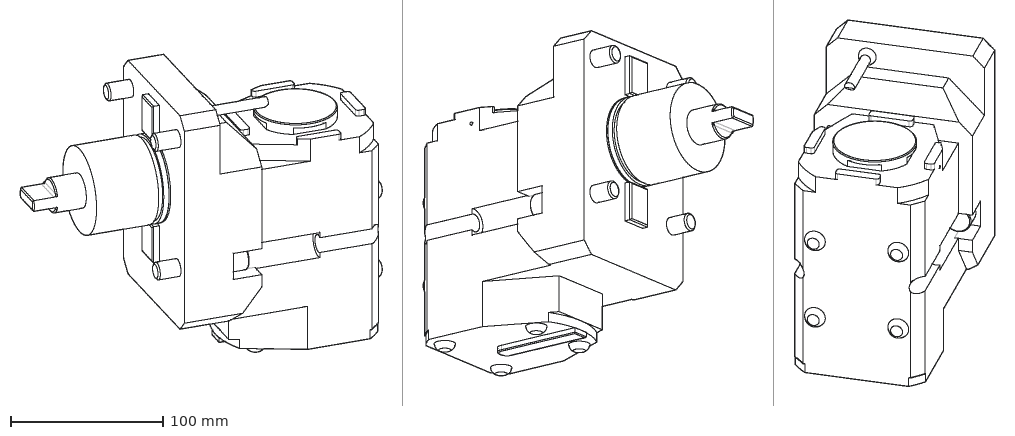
import cadquery as cq
import math


flange_width = 108.0
flange_thickness = 25.3
flange_top = 65.3
flange_bottom = -90.0
flange_chamfer = 8.0

shoulder_back = 54.8
shoulder_top = 46.5
shoulder_side_chamfer = 24.5
shoulder_back_chamfer = 15.3
undercut_depth = 19.8
undercut_height = 24.6

body_width = 89.0
body_front = 43.5
body_back = 144.5
body_bottom = -121.2
body_shelf = 15.3
body_back_chamfer = 8.0
taper_start = 91.0
taper_slope = 0.44
cover_thickness = 6.5

output_y = 100.2
head_top = 27.0
head_front = 55.5
head_taper_start = 93.2
head_radius = 52.4
pad_length = 30.0
pad_depth = 7.0
pad_height = 4.3
pad_fillet = 2.0
cap_across_flats = 50.2
cap_diameter = 55.2
cap_rim_thickness = 3.0
cap_top = 34.7
cap_chamfer = 0.7
side_hole_diameter = 2.1
side_hole_depth = 2.5
side_hole_z = 21.5

spigot_diameter = 60.0
spigot_length = 52.5
groove_diameter = 56.0
spigot_root_diameter = 59.5
spigot_root_length = 1.2
groove_start = 5.0
groove_end = 8.5
shaft_diameter = 23.7
shaft_end = 73.6
shaft_chamfer = 1.0
tang_end = 90.4
tang_thickness = 8.0
tang_chamfer = 1.0
tang_root_fillet = 1.7

screw_x = 41.8
screw_z = 46.9
screw_diameter = 12.0
screw_chamfer = 1.2
upper_screw_length = 17.2
lower_screw_length = 15.8
screw_head_diameter = 18.0
screw_head_length = 12.7
screw_head_chamfer = 0.7
groove_bore_diameter = 19.0
groove_bore_front = 34.7
groove_bore_back = 99.7
groove_narrow_diameter = 12.0

key_width = 19.4
key_inner = 30.5
key_outer = 57.0
key_height = 5.0
key_chamfer = 1.0

button_diameter = 14.0
button_top_diameter = 8.1
button_height = 4.3
back_button_x = 28.5
back_button_rows = (-21.0, -78.5)
bottom_bolt_radius = 44.5
back_bolt_y = 132.2
front_bolt_y = 62.5

bottom_key_width = 12.5
bottom_key_back = 110.5
bottom_key_height = 3.8
bottom_key_chamfer = 0.7

pipe_x = 25.8
pipe_z = 54.5
pipe_diameter = 7.0
pipe_end = 69.3
pipe_tip_chamfer = 3.0
pipe_ball_diameter = 12.0


def box(x_range, y_range, z_range):
    """Box between pairs of X, Y and Z limits."""
    size = [high - low for low, high in (x_range, y_range, z_range)]
    corner = (x_range[0], y_range[0], z_range[0])
    return cq.Workplane("XY").box(*size, centered=False).translate(corner)


def rod_y(x, z, diameter, y_start, y_end):
    """Cylinder along Y between two Y positions."""
    plane = cq.Workplane("XZ", origin=(x, y_end, z))
    return plane.circle(diameter / 2).extrude(y_end - y_start)


def disc_z(diameter, z_start, z_end):
    """Cylinder on the output axis between two heights."""
    plane = cq.Workplane("XY", origin=(0, output_y, z_start))
    return plane.circle(diameter / 2).extrude(z_end - z_start)


def tapered_prism(front, side_end, z_start, z_end):
    """Body plan with chamfered back corners and sides that taper from side_end to the front."""
    half = body_width / 2
    front_half = half - taper_slope * (side_end - front)
    right_side = [
        (front_half, front),
        (half, side_end),
        (half, body_back - body_back_chamfer),
        (half - body_back_chamfer, body_back),
    ]
    left_side = [(-x, y) for x, y in reversed(right_side)]
    plane = cq.Workplane("XY", origin=(0, 0, z_start))
    return plane.polyline(right_side + left_side).close().extrude(z_end - z_start)


def make_flange():
    half = flange_width / 2
    plate = box((-half, half), (0, flange_thickness), (flange_bottom, flange_top))
    return plate.edges("|Y").chamfer(flange_chamfer)


def make_shoulder():
    half = flange_width / 2
    block = box((-half, half), (0, shoulder_back), (flange_bottom, shoulder_top))
    block = block.edges("|Y and >Z").chamfer(shoulder_side_chamfer)
    block = block.edges("|Y and <Z").chamfer(flange_chamfer)
    profile = [
        (0, flange_bottom),
        (shoulder_back - undercut_depth, flange_bottom),
        (shoulder_back, flange_bottom + undercut_height),
        (shoulder_back, shoulder_top - shoulder_back_chamfer),
        (shoulder_back - shoulder_back_chamfer, shoulder_top),
        (0, shoulder_top),
    ]
    side_profile = cq.Workplane("YZ").polyline(profile).close().extrude(half, both=True)
    return block.intersect(side_profile)


def make_body():
    half = body_width / 2
    middle = box((-half, half), (flange_thickness, body_back), (flange_bottom, body_shelf))
    middle = middle.edges("|Z and >Y").chamfer(body_back_chamfer)
    cover_top = body_bottom + cover_thickness
    lower = tapered_prism(body_front, taper_start, cover_top, flange_bottom)
    cover = tapered_prism(body_front, taper_start, body_bottom, cover_top)
    cover = cover.intersect(disc_z(2 * (output_y - body_front), body_bottom, cover_top))
    return middle.union(lower).union(cover)


def make_output_head():
    pad_top = head_top + pad_height
    outline = tapered_prism(head_front, head_taper_start, body_shelf, pad_top)
    outline = outline.intersect(disc_z(2 * head_radius, body_shelf, pad_top))
    half = body_width / 2
    head = outline.intersect(box((-half, half), (head_front, body_back), (body_shelf, head_top)))
    pad_offset = half - pad_depth / 2
    pad_places = [
        (-pad_offset, output_y, 90),
        (pad_offset, output_y, 90),
        (0, head_front + pad_depth / 2, 0),
        (0, body_back - pad_depth / 2, 0),
    ]
    for x, y, angle in pad_places:
        pad = cq.Workplane("XY").box(pad_length, pad_depth, pad_height, centered=(True, True, False))
        pad = pad.edges("|Z").fillet(pad_fillet)
        pad = pad.rotate((0, 0, 0), (0, 0, 1), angle).translate((x, y, head_top))
        head = head.union(pad.intersect(outline))
    return head.union(make_cap())


def make_cap():
    """Round cap with four wrench flats below its rim."""
    rim_bottom = cap_top - cap_rim_thickness
    rim = disc_z(cap_diameter, rim_bottom, cap_top).faces(">Z").chamfer(cap_chamfer)
    half = cap_across_flats / 2
    square = box((-half, half), (output_y - half, output_y + half), (head_top, rim_bottom))
    return rim.union(disc_z(cap_diameter, head_top, rim_bottom).intersect(square))


def make_drive():
    spigot = rod_y(0, 0, spigot_diameter, -spigot_length, -groove_end)
    spigot = spigot.union(rod_y(0, 0, groove_diameter, -groove_end, -groove_start))
    spigot = spigot.union(rod_y(0, 0, spigot_diameter, -groove_start, -spigot_root_length))
    spigot = spigot.union(rod_y(0, 0, spigot_root_diameter, -spigot_root_length, 0))
    shaft = rod_y(0, 0, shaft_diameter, -shaft_end, -spigot_length)
    shaft = shaft.faces("<Y").chamfer(shaft_chamfer)
    return spigot.union(shaft).union(make_tang())


def make_tang():
    """Flat tang that runs back through the shaft end chamfer and flares into the end face."""
    half = shaft_diameter / 2
    half_thickness = tang_thickness / 2
    tang_start = shaft_chamfer - shaft_end
    round_y = -shaft_end - tang_root_fillet
    round_z = half_thickness + tang_root_fillet
    blade = box((-half, half), (-tang_end, tang_start), (-half_thickness, half_thickness))
    root = box((-half, half), (round_y, -shaft_end), (-round_z, round_z))
    for z in (-round_z, round_z):
        round_plane = cq.Workplane("YZ", origin=(-half, round_y, z))
        root = root.cut(round_plane.circle(tang_root_fillet).extrude(shaft_diameter))
    round_bar = rod_y(0, 0, shaft_diameter, -tang_end, tang_start)
    blade = blade.intersect(round_bar).faces("<Y").chamfer(tang_chamfer)
    return blade.union(root.intersect(round_bar))


def make_flange_screws():
    screws = cq.Workplane("XY")
    for x in (-screw_x, screw_x):
        for z, length in ((screw_z, upper_screw_length), (-screw_z, lower_screw_length)):
            shank = rod_y(x, z, screw_diameter, -length, 0)
            screws = screws.add(shank.faces("<Y").chamfer(screw_chamfer))
        head_end = groove_bore_front + screw_head_length
        head = rod_y(x, -screw_z, screw_head_diameter, groove_bore_front, head_end)
        screws = screws.add(head.faces(">Y").chamfer(screw_head_chamfer))
    return screws.combine()


def make_side_grooves():
    grooves = cq.Workplane("XY")
    slot_half = groove_bore_diameter / 2
    for side in (-1, 1):
        x = side * screw_x
        x_range = sorted((x, side * flange_width / 2))
        z_range = (-screw_z - slot_half, -screw_z + slot_half)
        slot = box(x_range, (groove_bore_front, shoulder_back), z_range)
        bore = rod_y(x, -screw_z, groove_bore_diameter, groove_bore_front, groove_bore_back)
        narrow = rod_y(x, -screw_z, groove_narrow_diameter, groove_bore_back, body_back)
        grooves = grooves.add(slot.union(bore).union(narrow))
    return grooves.combine()


def make_flange_keys():
    half = key_width / 2
    upper = box((-half, half), (-key_height, 0), (key_inner, key_outer))
    upper = upper.faces("<Y").chamfer(key_chamfer)
    return upper.union(upper.mirror("XY"))


def make_button_head():
    """Domed screw head standing on the XY plane."""
    radius = button_diameter / 2
    top_radius = button_top_diameter / 2
    bulge = 0.5
    middle = ((radius + top_radius) / 2 + bulge, button_height / 2 + bulge)
    profile = cq.Workplane("XZ").lineTo(radius, 0)
    profile = profile.threePointArc(middle, (top_radius, button_height))
    profile = profile.lineTo(0, button_height).close()
    return profile.revolve(360, (0, 0, 0), (0, 1, 0))


def make_button_screws():
    screws = cq.Workplane("XY")
    back_head = make_button_head().rotate((0, 0, 0), (1, 0, 0), -90)
    bottom_head = make_button_head().rotate((0, 0, 0), (1, 0, 0), 180)
    for side in (-1, 1):
        for z in back_button_rows:
            screws = screws.add(back_head.translate((side * back_button_x, body_back, z)))
        for y in (back_bolt_y, front_bolt_y):
            x = side * math.sqrt(bottom_bolt_radius**2 - (y - output_y) ** 2)
            screws = screws.add(bottom_head.translate((x, y, body_bottom)))
    return screws.combine()


def make_bottom_key():
    half = bottom_key_width / 2
    plane = cq.Workplane("XY", origin=(0, 0, body_bottom - bottom_key_height))
    key = plane.moveTo(-half, body_front).lineTo(half, body_front)
    key = key.lineTo(half, bottom_key_back - half)
    key = key.threePointArc((0, bottom_key_back), (-half, bottom_key_back - half))
    key = key.close().extrude(bottom_key_height)
    return key.faces("<Z").chamfer(bottom_key_chamfer)


def make_coolant_pipe():
    pipe_radius = pipe_diameter / 2
    pipe = rod_y(pipe_x, pipe_z, pipe_diameter, flange_thickness, pipe_end)
    bottom = pipe_z - pipe_radius
    tip = [
        (pipe_end, bottom),
        (pipe_end, bottom + pipe_tip_chamfer),
        (pipe_end - pipe_tip_chamfer, bottom),
    ]
    tip_plane = cq.Workplane("YZ", origin=(pipe_x, 0, 0))
    pipe = pipe.cut(tip_plane.polyline(tip).close().extrude(pipe_radius, both=True))
    ball = cq.Workplane("XY").sphere(pipe_ball_diameter / 2)
    return pipe.union(ball.translate((pipe_x, flange_thickness, pipe_z)))


def make_side_hole():
    plane = cq.Workplane("YZ", origin=(-body_width / 2, output_y, side_hole_z))
    return plane.circle(side_hole_diameter / 2).extrude(side_hole_depth)


result = make_flange().union(make_shoulder()).union(make_body())
result = result.cut(make_side_grooves())
result = result.union(make_output_head()).cut(make_side_hole())
for feature in (
    make_drive(),
    make_flange_screws(),
    make_flange_keys(),
    make_button_screws(),
    make_bottom_key(),
    make_coolant_pipe(),
):
    result = result.union(feature)